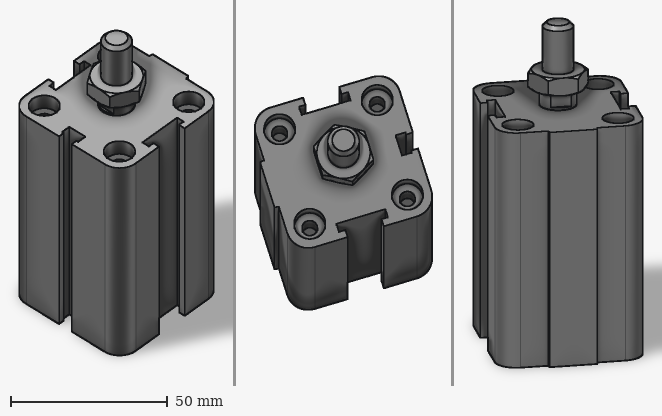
import cadquery as cq
import math


total_height = 107.5
housing_width = 48.0
housing_height = 79.5
corner_radius = 7.0

overall_depth = 49.5
rib_base_width = 16.0
rib_top_width = 15.5
rib_height = overall_depth - housing_width

side_slot_opening = 12.0
side_slot_chamber = 16.3
side_slot_lip = 2.5
side_slot_depth = 5.3
front_slot_opening = 5.5
front_slot_chamber = 7.0
front_slot_lip = 2.3
front_slot_depth = 5.6

hole_pitch = 32.6
hole_diameter = 4.9
hole_depth = 14.5
counterbore_diameter = 10.0
counterbore_depth = 5.5

collar_diameter = 12.0
collar_chamfer = 0.2
thread_diameter = 10.0
thread_chamfer = 1.4
flats_distance = 10.0
flats_start = 1.0

nut_sides = 6
nut_across_flats = 17.0
nut_bottom = 85.5
nut_height = 6.0
nut_chamfer_height = 0.8

half_width = housing_width / 2


def rib():
    """Rib with slightly sloped sides, running the full height of the +Y side."""
    return (
        cq.Workplane("XY")
        .polyline([
            (-rib_base_width / 2, half_width),
            (rib_base_width / 2, half_width),
            (rib_top_width / 2, half_width + rib_height),
            (-rib_top_width / 2, half_width + rib_height),
        ])
        .close()
        .extrude(housing_height)
    )


def t_slot(opening, chamber, lip, depth, angle):
    """Full-height T-slot cutter for the -Y side, turned about Z by the angle."""
    mouth = (
        cq.Workplane("XY")
        .center(0, -half_width + depth / 2)
        .rect(opening, depth)
        .extrude(housing_height)
    )
    pocket = (
        cq.Workplane("XY")
        .center(0, -half_width + (lip + depth) / 2)
        .rect(chamber, depth - lip)
        .extrude(housing_height)
    )
    return mouth.union(pocket).rotate((0, 0, 0), (0, 0, 1), angle)


def make_housing():
    body = (
        cq.Workplane("XY")
        .rect(housing_width, housing_width)
        .extrude(housing_height)
        .edges("|Z")
        .fillet(corner_radius)
        .union(rib())
    )
    body = body.cut(t_slot(front_slot_opening, front_slot_chamber, front_slot_lip, front_slot_depth, 0))
    for angle in (90, -90):
        body = body.cut(t_slot(side_slot_opening, side_slot_chamber, side_slot_lip, side_slot_depth, angle))
    return (
        body.faces(">Z")
        .workplane(origin=(0, 0, housing_height))
        .rect(hole_pitch, hole_pitch, forConstruction=True)
        .vertices()
        .cboreHole(hole_diameter, counterbore_diameter, counterbore_depth, hole_depth)
    )


def make_rod():
    """Rod standing on the housing: a collar with two flats and a threaded end."""
    collar_height = nut_bottom - housing_height
    collar = (
        cq.Workplane("XY", origin=(0, 0, housing_height))
        .circle(collar_diameter / 2)
        .extrude(collar_height)
        .faces("<Z or >Z")
        .chamfer(collar_chamfer)
    )
    between_flats = (
        cq.Workplane("XY", origin=(0, 0, housing_height + flats_start))
        .rect(collar_diameter, flats_distance)
        .extrude(collar_height - flats_start)
    )
    below_flats = (
        cq.Workplane("XY", origin=(0, 0, housing_height))
        .rect(collar_diameter, collar_diameter)
        .extrude(flats_start)
    )
    collar = collar.intersect(between_flats.union(below_flats))
    thread = (
        cq.Workplane("XY", origin=(0, 0, nut_bottom))
        .circle(thread_diameter / 2)
        .extrude(total_height - nut_bottom)
        .faces(">Z")
        .chamfer(thread_chamfer)
    )
    return collar.union(thread)


def make_nut():
    """Hex nut with two corners on the X axis, its corners coned off at both ends."""
    across_corners = nut_across_flats / math.cos(math.pi / nut_sides)
    hexagon = (
        cq.Workplane("XY", origin=(0, 0, nut_bottom))
        .polygon(nut_sides, across_corners)
        .extrude(nut_height)
    )
    corner_cone = (
        cq.Workplane("XY", origin=(0, 0, nut_bottom))
        .circle(across_corners / 2)
        .extrude(nut_height)
        .faces("<Z or >Z")
        .chamfer(nut_chamfer_height, (across_corners - nut_across_flats) / 2)
    )
    bore = (
        cq.Workplane("XY", origin=(0, 0, nut_bottom))
        .circle(thread_diameter / 2)
        .extrude(nut_height)
    )
    return hexagon.intersect(corner_cone).cut(bore)


housing = make_housing()
rod = make_rod()
nut = make_nut()

result = cq.Compound.makeCompound([
    housing.solids().val(),
    rod.solids().val(),
    nut.solids().val(),
])